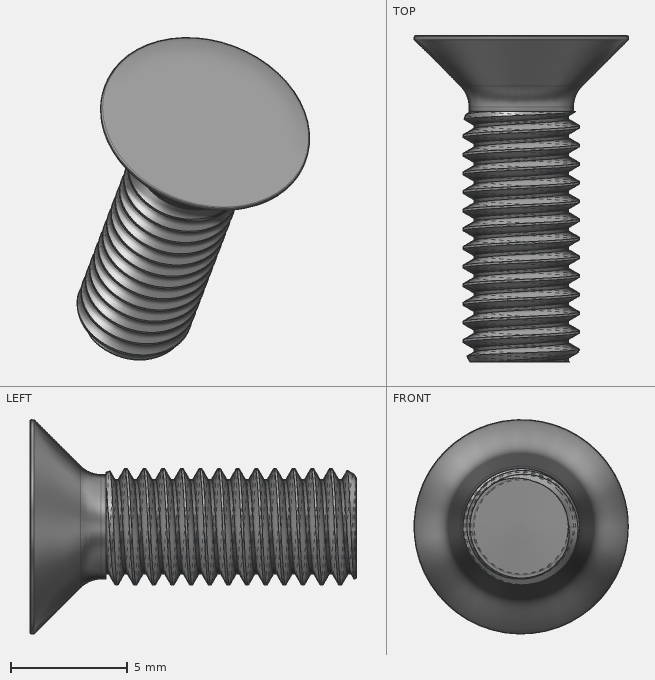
import cadquery as cq
import math

total_length = 14.0

head_radius = 9.2 / 2
rim_height = 0.17
rim_rounding = 0.05
neck_radius = 2.24
neck_fillet_radius = 1.26
head_cone_angle = math.radians(45)
thread_start = 10.74

thread_radius = 5.0 / 2
thread_turns = 100
thread_pitch = 80 / thread_turns
thread_depth = 0.48
flank_angle = math.radians(30)
crest_width = thread_pitch / 8
crest_height_at_top = 1.09
groove_overshoot = 0.05

dish_radius = 2.07
dish_depth = 0.1

tip_radius = 2.2
tip_taper_angle = math.radians(30)
start_radius = 2.34
start_taper_angle = math.radians(20)


def make_head_and_neck():
    """Rim, 90 degree cone, neck fillet and neck, turned about the Y axis."""
    rim_base = total_length - rim_height
    cone_end_radius = neck_radius + neck_fillet_radius * (1 - math.cos(head_cone_angle))
    cone_end = rim_base - (head_radius - cone_end_radius) / math.tan(head_cone_angle)
    fillet_end = cone_end - neck_fillet_radius * math.sin(head_cone_angle)
    half_angle = head_cone_angle / 2
    fillet_middle = (
        neck_radius + neck_fillet_radius * (1 - math.cos(half_angle)),
        fillet_end + neck_fillet_radius * math.sin(half_angle),
    )
    turned = (
        cq.Workplane("XY")
        .moveTo(0, total_length)
        .lineTo(head_radius, total_length)
        .lineTo(head_radius, rim_base)
        .lineTo(cone_end_radius, cone_end)
        .threePointArc(fillet_middle, (neck_radius, fillet_end))
        .lineTo(neck_radius, thread_start)
        .lineTo(0, thread_start)
        .close()
        .revolve(360, (0, 0, 0), (0, 1, 0))
    )
    rim_edges = cq.selectors.BoxSelector(
        (-head_radius, rim_base - rim_rounding, -head_radius),
        (head_radius, total_length + rim_rounding, head_radius),
    )
    return turned.edges("%CIRCLE").edges(rim_edges).fillet(rim_rounding)


def make_thread_blank():
    """Cylinder of the crest diameter, tapered at both ends and dished at the tip."""
    tip_taper_length = (thread_radius - tip_radius) / math.tan(tip_taper_angle)
    start_taper_length = (thread_radius - start_radius) / math.tan(start_taper_angle)
    return (
        cq.Workplane("XY")
        .moveTo(0, dish_depth)
        .lineTo(dish_radius, 0)
        .lineTo(tip_radius, 0)
        .lineTo(thread_radius, tip_taper_length)
        .lineTo(thread_radius, thread_start - start_taper_length)
        .lineTo(start_radius, thread_start)
        .lineTo(0, thread_start)
        .close()
        .revolve(360, (0, 0, 0), (0, 1, 0))
    )


def make_groove_turn():
    """One right-handed turn of the thread groove, advancing along +Y from the +X side."""
    root_radius = thread_radius - thread_depth
    mouth_radius = thread_radius + groove_overshoot
    half_root = (thread_pitch - crest_width) / 2 - thread_depth * math.tan(flank_angle)
    half_mouth = half_root + (mouth_radius - root_radius) * math.tan(flank_angle)
    helix = cq.Wire.makeHelix(thread_pitch, thread_pitch, thread_radius)
    turn = (
        cq.Workplane("XZ")
        .moveTo(root_radius, -half_root)
        .lineTo(mouth_radius, -half_mouth)
        .lineTo(mouth_radius, half_mouth)
        .lineTo(root_radius, half_root)
        .close()
        .sweep(cq.Workplane(obj=helix), isFrenet=True)
    )
    return turn.rotate((0, 0, 0), (1, 0, 0), -90)


def make_threaded_shank():
    """Thread blank with the groove cut one turn at a time, running out at both ends."""
    groove_height = crest_height_at_top + thread_pitch / 4 - thread_pitch / 2
    turns_past_tip = 3
    turn_count = math.ceil(thread_start / thread_pitch) + turns_past_tip
    groove_turn = make_groove_turn()
    shank = make_thread_blank()
    for turn in range(turn_count):
        height = groove_height + (turn - turns_past_tip) * thread_pitch
        shank = shank.cut(groove_turn.translate((0, height, 0)))
    return shank


result = make_head_and_neck().union(make_threaded_shank())